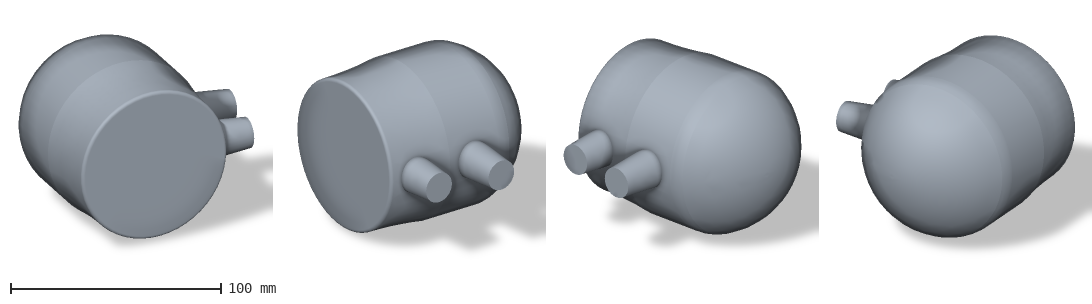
import cadquery as cq
import math

body_radius = 40.5
body_length = 94.7
dome_radius = 42.5
barrel_start = 32.6
barrel_end = 61.5
rim_radius = 38.1
rim_round = 1.6

port_tip_diameter = 15.2
port_taper = 5.0
port_root_y = 30.8
long_port_x = 47.3
long_port_tip_y = 62.0
short_port_x = 79.4
short_port_tip_y = 55.9


def point_on_arc(center, radius, angle):
    return (center[0] + radius * math.cos(angle), center[1] + radius * math.sin(angle))


def make_body():
    tip_offset = dome_radius - barrel_start
    shoulder_radius = (dome_radius + body_radius - tip_offset**2 / (dome_radius - body_radius)) / 2
    dome_center = (dome_radius, 0)
    shoulder_center = (barrel_start, body_radius - shoulder_radius)
    join_angle = math.atan2(shoulder_center[1], shoulder_center[0] - dome_radius)
    dome_middle = point_on_arc(dome_center, dome_radius, (math.pi + join_angle) / 2)
    dome_end = point_on_arc(dome_center, dome_radius, join_angle)
    shoulder_middle = point_on_arc(shoulder_center, shoulder_radius, (join_angle + math.pi / 2) / 2)

    skirt_end = body_length - rim_round
    skirt_length = skirt_end - barrel_end
    skirt_drop = body_radius - rim_radius
    skirt_radius = (skirt_length**2 + skirt_drop**2) / (2 * skirt_drop)
    skirt_center = (skirt_end, rim_radius + skirt_radius)
    skirt_sweep = math.asin(skirt_length / skirt_radius)
    skirt_middle = point_on_arc(skirt_center, skirt_radius, -math.pi / 2 - skirt_sweep / 2)

    rim_center = (skirt_end, rim_radius - rim_round)
    rim_middle = point_on_arc(rim_center, rim_round, math.pi / 4)

    return (
        cq.Workplane("XY")
        .moveTo(0, 0)
        .threePointArc(dome_middle, dome_end)
        .threePointArc(shoulder_middle, (barrel_start, body_radius))
        .lineTo(barrel_end, body_radius)
        .threePointArc(skirt_middle, (skirt_end, rim_radius))
        .threePointArc(rim_middle, (body_length, rim_radius - rim_round))
        .lineTo(body_length, 0)
        .close()
        .revolve(360, (0, 0, 0), (1, 0, 0))
    )


def make_port(x, tip_y):
    length = tip_y - port_root_y
    tip_radius = port_tip_diameter / 2
    root_radius = tip_radius + length * math.tan(math.radians(port_taper))
    cone = cq.Solid.makeCone(
        root_radius, tip_radius, length, cq.Vector(x, port_root_y, 0), cq.Vector(0, 1, 0)
    )
    return cq.Workplane(obj=cone)


result = make_body()
for port_x, port_tip_y in ((long_port_x, long_port_tip_y), (short_port_x, short_port_tip_y)):
    result = result.union(make_port(port_x, port_tip_y))